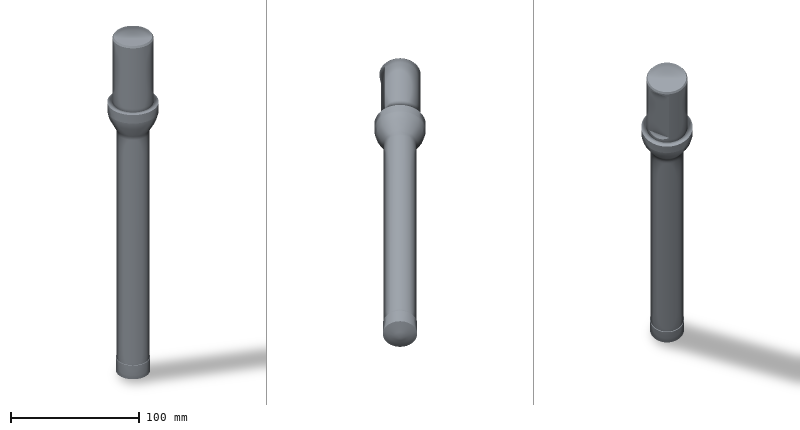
import cadquery as cq
import math

total_length = 310

shank_radius = 32.0 / 2
flange_radius = 40.0 / 2
body_radius = 25.5 / 2
tip_radius = 26.7 / 2

shank_length = 60.0
flange_thickness = 7.8
neck_length = 19.2
tip_top_z = 16.5
shank_chamfer_width = 1.0
shank_chamfer_height = 1.5

neck_slope = math.radians(30)
shoulder_slope = math.radians(5)
root_round_height = 3.7

tip_point_height = 4.0

flat_depth = 2.5
flat_top_gap = 2.8
flat_bottom_gap = 3.0

flange_top_z = total_length - shank_length
flange_bottom_z = flange_top_z - flange_thickness
neck_bottom_z = flange_bottom_z - neck_length


def arc_offset(radius, angle):
    """Radial and axial travel of an arc that leaves the axial direction and turns by an angle."""
    return radius * (1 - math.cos(angle)), radius * math.sin(angle)


def make_holder():
    root_round_radius = root_round_height / math.sin(neck_slope)
    root_in, root_rise = arc_offset(root_round_radius, neck_slope)
    root_mid_in, root_mid_rise = arc_offset(root_round_radius, neck_slope / 2)
    taper_bottom = (body_radius + root_in, neck_bottom_z + root_rise)
    taper_direction = (math.sin(neck_slope), math.cos(neck_slope))
    shoulder_direction = (math.sin(shoulder_slope), math.cos(shoulder_slope))

    holder = (
        cq.Workplane("XZ")
        .moveTo(0, tip_top_z)
        .lineTo(body_radius, tip_top_z)
        .lineTo(body_radius, neck_bottom_z)
        .threePointArc((body_radius + root_mid_in, neck_bottom_z + root_mid_rise), taper_bottom)
        .spline(
            [(flange_radius, flange_bottom_z)],
            tangents=[taper_direction, shoulder_direction],
            includeCurrent=True,
        )
        .lineTo(flange_radius, flange_top_z)
        .lineTo(shank_radius, flange_top_z)
        .lineTo(shank_radius, total_length - shank_chamfer_height)
        .lineTo(shank_radius - shank_chamfer_width, total_length)
        .lineTo(0, total_length)
        .close()
        .revolve(360, (0, 0, 0), (0, 1, 0))
    )
    return holder.cut(make_flat_cutter())


def make_flat_cutter():
    flat_y = shank_radius - flat_depth
    top_z = total_length - flat_top_gap
    bottom_z = flange_top_z + flat_bottom_gap
    return (
        cq.Workplane("YZ")
        .moveTo(shank_radius, bottom_z)
        .lineTo(flat_y, bottom_z + flat_depth)
        .lineTo(flat_y, top_z - flat_depth)
        .lineTo(shank_radius, top_z)
        .close()
        .extrude(shank_radius, both=True)
    )


def make_cutting_tip():
    return (
        cq.Workplane("XZ")
        .lineTo(tip_radius, tip_point_height)
        .lineTo(tip_radius, tip_top_z)
        .lineTo(0, tip_top_z)
        .close()
        .revolve(360, (0, 0, 0), (0, 1, 0))
    )


holder = make_holder()
cutting_tip = make_cutting_tip()

result = cq.Compound.makeCompound([*holder.solids().vals(), cutting_tip.val()])